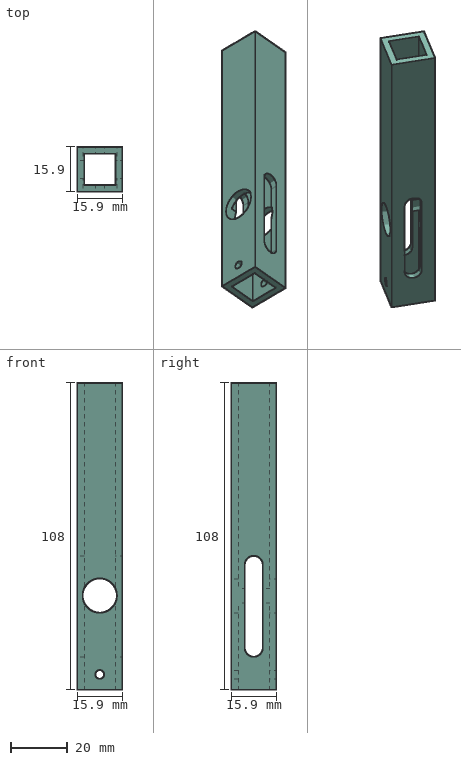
import cadquery as cq

length = 108.0
side = 15.9
wall = 2.5
bore = side - 2 * wall

large_hole_diameter = 12.0
large_hole_height = 33.2
pin_hole_diameter = 3.0
pin_hole_height = 5.4

slot_width = 6.3
slot_bottom = 11.7
slot_top = 47.1
slot_length = slot_top - slot_bottom
slot_center_height = (slot_bottom + slot_top) / 2


def square_tube():
    return cq.Workplane("XY").rect(side, side).rect(bore, bore).extrude(length)


def cross_hole(diameter, height):
    """Cylinder through both Y walls."""
    return cq.Workplane("XZ").center(0, height).circle(diameter / 2).extrude(side, both=True)


def cross_slot():
    """Upright slot through both X walls."""
    return (
        cq.Workplane("YZ")
        .center(0, slot_center_height)
        .slot2D(slot_length, slot_width, 90)
        .extrude(side, both=True)
    )


result = (
    square_tube()
    .cut(cross_hole(large_hole_diameter, large_hole_height))
    .cut(cross_hole(pin_hole_diameter, pin_hole_height))
    .cut(cross_slot())
)